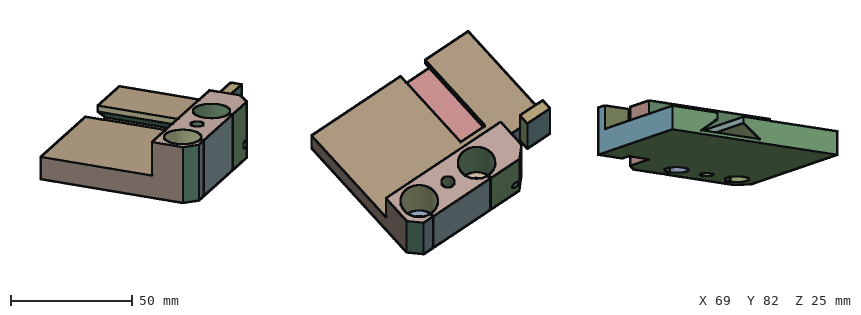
import cadquery as cq

length_x = 69.0
length_y = 82
block_height = 25.0
plate_length_x = 50
plate_thickness = 10.0
block_length_y = 60.0
corner_chamfer = 5.0

post_size_x = 5.0
post_size_y = 12.0
post_height = 20.0

bore_x = 59.5
bore_ys = (10.0, 40.0)
bore_diameter = 10.0
counterbore_diameter = 15.4
counterbore_floor = 5.0
slit_width = 0.5
screw_diameter = 5.4

slot_y = 53.05
slot_length = 40.35
slot_neck_width = 12.8
slot_floor_width = 28.95
slot_floor_z = 1.55
slot_neck_depth = 2.7
cross_hole_diameter = 3.4
cross_hole_z = 6.6


def box_at(x, y, z, size_x, size_y, size_z):
    """Box placed by its lowest corner."""
    return cq.Workplane("XY").box(size_x, size_y, size_z, centered=False).translate((x, y, z))


def vertical_cylinder(x, y, z, diameter):
    """Cutting cylinder from height z to the top of the block."""
    return (
        cq.Workplane("XY", origin=(x, y, z))
        .circle(diameter / 2)
        .extrude(block_height - z)
    )


def make_body():
    plate = box_at(0, 0, 0, plate_length_x, length_y, plate_thickness)
    block = box_at(plate_length_x, 0, 0, length_x - plate_length_x, block_length_y, block_height)
    block = block.edges("|Z and >X").chamfer(corner_chamfer)
    post = box_at(plate_length_x, length_y - post_size_y, 0, post_size_x, post_size_y, post_height)
    return plate.union(block).union(post)


def make_clamp_bore(y):
    """Counterbored through hole, slit open to the +X face."""
    bore = vertical_cylinder(bore_x, y, 0, bore_diameter)
    counterbore = vertical_cylinder(bore_x, y, counterbore_floor, counterbore_diameter)
    slit = box_at(bore_x, y - slit_width / 2, 0, length_x - bore_x, slit_width, block_height)
    return bore.union(counterbore).union(slit)


def make_dovetail_slot():
    neck_half = slot_neck_width / 2
    floor_half = slot_floor_width / 2
    neck_bottom_z = plate_thickness - slot_neck_depth
    profile = [
        (slot_y - neck_half, plate_thickness),
        (slot_y - neck_half, neck_bottom_z),
        (slot_y - floor_half, slot_floor_z),
        (slot_y + floor_half, slot_floor_z),
        (slot_y + neck_half, neck_bottom_z),
        (slot_y + neck_half, plate_thickness),
    ]
    return cq.Workplane("YZ").polyline(profile).close().extrude(slot_length)


def make_cross_hole():
    """Hole along X from the slot through the +X face of the block."""
    return (
        cq.Workplane("YZ")
        .center(slot_y, cross_hole_z)
        .circle(cross_hole_diameter / 2)
        .extrude(length_x)
    )


result = make_body()
for bore_y in bore_ys:
    result = result.cut(make_clamp_bore(bore_y))
screw_y = sum(bore_ys) / len(bore_ys)
result = result.cut(vertical_cylinder(bore_x, screw_y, 0, screw_diameter))
result = result.cut(make_dovetail_slot())
result = result.cut(make_cross_hole())